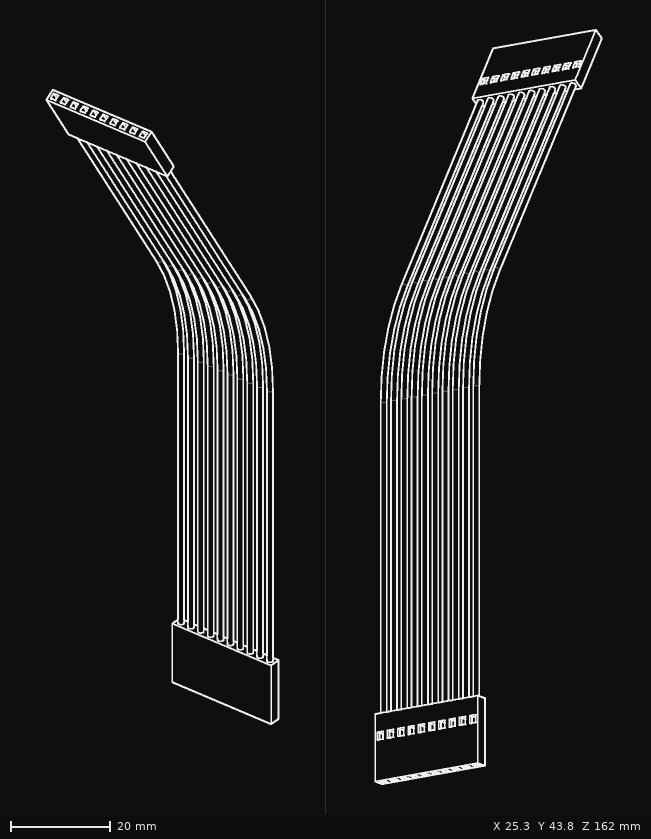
import cadquery as cq
import math

total_height = 162.0
wire_count = 10
wire_diameter = 1.26

housing_width = 25.3
pitch = housing_width / wire_count
housing_thickness = pitch
housing_length = 14.1
socket_size = 1.22
window_width = 1.5
window_length = 1.6
window_from_wire_end = 3.9

socket_depth = housing_length - window_from_wire_end
window_depth = (housing_thickness - socket_size) / 2
wire_embed = 0.8

bend_start_height = 79.0
bend_radius = 50.0
bend_angle = 31.2

sin_bend = math.sin(math.radians(bend_angle))
cos_bend = math.cos(math.radians(bend_angle))
bend_end_y = -bend_radius * (1 - cos_bend)
bend_end_z = bend_start_height + bend_radius * sin_bend

tip_z = total_height - housing_thickness / 2 * sin_bend
slope_length = (tip_z - bend_end_z) / cos_bend
slope_wire_length = slope_length - housing_length + wire_embed
lower_wire_start = housing_length - wire_embed

wire_positions = [(i - (wire_count - 1) / 2) * pitch for i in range(wire_count)]


def housing():
    """Housing standing on its socket end at Z = 0, with its windows on the +Y face."""
    body = cq.Workplane("XY").box(
        housing_width, housing_thickness, housing_length, centered=(True, True, False)
    )
    sockets = (
        cq.Workplane("XY")
        .pushPoints([(x, 0) for x in wire_positions])
        .rect(socket_size, socket_size)
        .extrude(socket_depth)
    )
    window_y = (socket_size + window_depth) / 2
    windows = (
        cq.Workplane("XY", origin=(0, window_y, socket_depth - window_length))
        .pushPoints([(x, 0) for x in wire_positions])
        .rect(window_width, window_depth)
        .extrude(window_length)
    )
    return body.cut(sockets).cut(windows)


def sloped_housing():
    """Housing at the far end of the sloping run, with its sockets facing outwards."""
    return (
        housing()
        .mirror("XY")
        .translate((0, 0, slope_length))
        .rotate((0, 0, 0), (1, 0, 0), bend_angle)
        .translate((0, bend_end_y, bend_end_z))
    )


def wire(x):
    """One round wire: vertical run, bend and sloping run."""
    radius = wire_diameter / 2
    vertical = (
        cq.Workplane("XY", origin=(x, 0, lower_wire_start))
        .circle(radius)
        .extrude(bend_start_height - lower_wire_start)
    )
    bend = (
        cq.Workplane("XY", origin=(x, 0, bend_start_height))
        .circle(radius)
        .revolve(bend_angle, (0, -bend_radius, 0), (1, -bend_radius, 0))
    )
    slope = (
        cq.Workplane("XY")
        .circle(radius)
        .extrude(slope_wire_length)
        .rotate((0, 0, 0), (1, 0, 0), bend_angle)
        .translate((x, bend_end_y, bend_end_z))
    )
    return vertical.union(bend).union(slope)


result = housing().union(sloped_housing())
for wire_x in wire_positions:
    result = result.union(wire(wire_x))